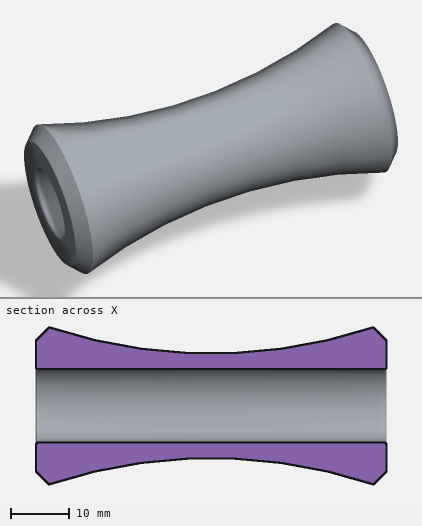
import cadquery as cq

length = 60.0
rim_diameter = 27.0
end_face_diameter = 22.5

waist_diameter = 18.0

bore_diameter = 12.5
bore_chamfer = 0.25

half_length = length / 2
rim_radius = rim_diameter / 2
end_face_radius = end_face_diameter / 2
rim_chamfer = rim_radius - end_face_radius
rim_y = half_length - rim_chamfer
waist_radius = waist_diameter / 2
bore_radius = bore_diameter / 2
bore_mouth_radius = bore_radius + bore_chamfer
bore_end_y = half_length - bore_chamfer

half_section = (
    cq.Workplane("XY")
    .moveTo(end_face_radius, -half_length)
    .lineTo(rim_radius, -rim_y)
    .threePointArc((waist_radius, 0), (rim_radius, rim_y))
    .lineTo(end_face_radius, half_length)
    .lineTo(bore_mouth_radius, half_length)
    .lineTo(bore_radius, bore_end_y)
    .lineTo(bore_radius, -bore_end_y)
    .lineTo(bore_mouth_radius, -half_length)
    .close()
)

result = half_section.revolve(360, (0, 0, 0), (0, 1, 0))